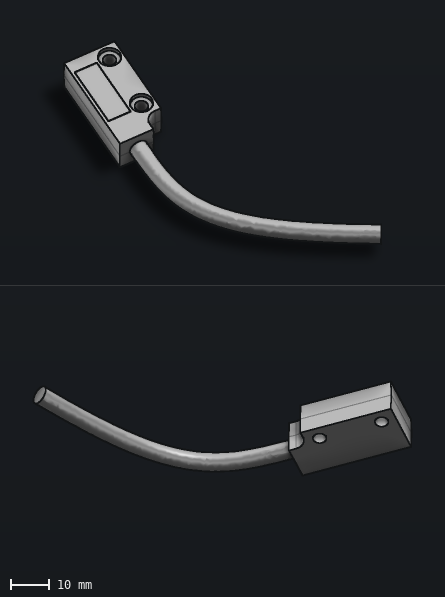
import cadquery as cq
import math

housing_length = 30.0
housing_width = 15.0
housing_height = 10.0
half_height = housing_height / 2
draft_angle = 1.0

notch_size = 5.0
notch_radius = 3.0

hole_diameter = 3.5
counterbore_diameter = 6.0
counterbore_depth = 1.3
hole_edge_x = 4.0
hole_edge_y = 3.7
hole_count = 2
hole_spacing = 17.0

label_length = 18.0
label_width = 6.5
label_depth = 0.2
label_edge_x = 4.0
label_edge_y = 1.0

cable_diameter = 5.0
cable_radius = cable_diameter / 2
cable_y = 5.5
cable_end_angle = 60
overall_length = 86.65
overall_width = 47.8
cable_root_depth = 0.2
first_handle = 19.15
second_handle = 30.2
end_handle = 21.9


def housing_half(direction):
    """Drafted slab growing from the parting plane; direction is +1 (up) or -1 (down)."""
    shoulder_x = housing_length - notch_size
    shoulder_y = housing_width - notch_size
    return (
        cq.Workplane("XY")
        .moveTo(0, 0)
        .lineTo(housing_length, 0)
        .lineTo(housing_length, shoulder_y)
        .lineTo(shoulder_x + notch_radius, shoulder_y)
        .radiusArc((shoulder_x, shoulder_y + notch_radius), notch_radius)
        .lineTo(shoulder_x, housing_width)
        .lineTo(0, housing_width)
        .close()
        .extrude(direction * half_height, taper=draft_angle)
    )


def make_housing():
    """Two drafted halves joined at the parting plane, with holes and label recess."""
    body = housing_half(1).union(housing_half(-1))

    hole_y = housing_width - hole_edge_y
    hole_points = [(hole_edge_x + i * hole_spacing, hole_y) for i in range(hole_count)]
    top = cq.Workplane("XY", origin=(0, 0, half_height))
    for diameter, depth in (
        (hole_diameter, housing_height),
        (counterbore_diameter, counterbore_depth),
    ):
        body = body.cut(top.pushPoints(hole_points).circle(diameter / 2).extrude(-depth))

    label = (
        top.moveTo(label_edge_x, label_edge_y)
        .rect(label_length, label_width, centered=False)
        .extrude(-label_depth)
    )
    return body.cut(label)


def make_cable(wall):
    """Round cable leaving the +X side along +X and bending towards +Y, its root trimmed to the wall."""
    angle = math.radians(cable_end_angle)
    end_x = overall_length - cable_radius * math.sin(angle)
    end_y = overall_width - cable_radius * math.cos(angle)
    root_x = housing_length - cable_root_depth
    controls = [
        (root_x, cable_y),
        (housing_length + first_handle, cable_y),
        (housing_length + second_handle, cable_y),
        (end_x - end_handle * math.cos(angle), end_y - end_handle * math.sin(angle)),
        (end_x, end_y),
    ]
    path = cq.Workplane("XY").bezier(controls)
    section = cq.Workplane("YZ", origin=(root_x, cable_y, 0)).circle(cable_radius)
    return section.sweep(path).cut(wall)


housing = make_housing().solids()
cable = make_cable(housing).solids()
result = cq.Compound.makeCompound([housing.val(), cable.val()])